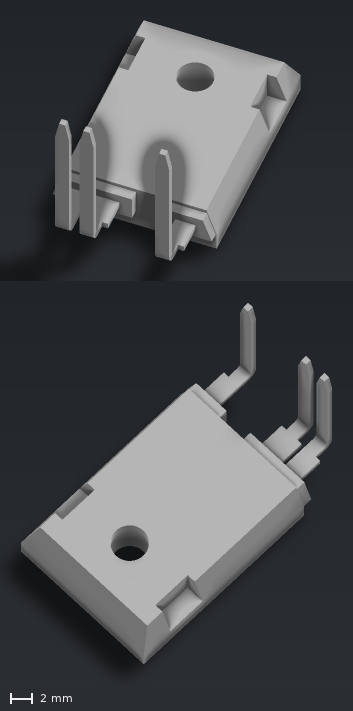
import cadquery as cq


package_width = 16.0
package_length = 21.0
package_height = 4.95
base_height = 2.0
side_taper_inset = 1.03
rear_taper_inset = 1.5

hole_diameter = 3.55
hole_from_rear = 6.2

notch_depth = 1.95
notch_length = 4.23
notch_from_rear = 3.48

shoulder_length = 1.0
shoulder_height = 2.57
shoulder_side_offset = 0.08
left_shoulder_inner_x = 0.0
right_shoulder_inner_x = 3.1

lead_reach = 6.0
lead_top = 18.31
lead_thickness = 0.63
lead_bottom = 3.0
lead_width = 1.4
bend_inner_radius = 0.55
wide_length = 2.83
wide_margin = 0.6
tip_length = 2.0
tip_width = 0.6
outer_lead_x = 4.97
middle_lead_x = -2.56

lead_layout = [
    (-outer_lead_x, wide_margin, 0.0),
    (middle_lead_x, wide_margin, wide_margin),
    (outer_lead_x, 0.0, wide_margin),
]

half_width = package_width / 2
bend_outer_radius = bend_inner_radius + lead_thickness


def box(x_min, x_max, y_min, y_max, z_min, z_max):
    """Box between the given limits."""
    return cq.Workplane("XY").box(
        x_max - x_min, y_max - y_min, z_max - z_min, centered=False
    ).translate((x_min, y_min, z_min))


def make_upper_package():
    """Upper half, sloped on both sides and at the rear, upright on the lead side."""
    side_profile = (
        cq.Workplane("YZ", origin=(-half_width, 0, 0))
        .moveTo(0, base_height)
        .lineTo(package_length, base_height)
        .lineTo(package_length - rear_taper_inset, package_height)
        .lineTo(0, package_height)
        .close()
        .extrude(package_width)
    )
    end_profile = (
        cq.Workplane("XZ")
        .moveTo(-half_width, base_height)
        .lineTo(half_width, base_height)
        .lineTo(half_width - side_taper_inset, package_height)
        .lineTo(-half_width + side_taper_inset, package_height)
        .close()
        .extrude(-package_length)
    )
    return side_profile.intersect(end_profile)


def make_shoulder(inner_x, side):
    """Shoulder block from inner_x out to the -X (side = -1) or +X (side = 1) edge."""
    slope = side_taper_inset / (package_height - base_height)
    bottom_x = half_width - shoulder_side_offset
    top_x = bottom_x - slope * shoulder_height
    top_z = base_height + shoulder_height
    return (
        cq.Workplane("XZ")
        .moveTo(inner_x, base_height)
        .lineTo(side * bottom_x, base_height)
        .lineTo(side * top_x, top_z)
        .lineTo(inner_x, top_z)
        .close()
        .extrude(shoulder_length)
    )


def make_package():
    package = box(-half_width, half_width, 0, package_length, 0, base_height)
    package = package.union(make_upper_package())

    notch_rear_y = package_length - notch_from_rear
    notch_front_y = notch_rear_y - notch_length
    for x_min in (-half_width, half_width - notch_depth):
        notch = box(x_min, x_min + notch_depth, notch_front_y, notch_rear_y, base_height, package_height)
        package = package.cut(notch)

    package = package.union(make_shoulder(left_shoulder_inner_x, -1))
    package = package.union(make_shoulder(right_shoulder_inner_x, 1))

    hole = (
        cq.Workplane("XY")
        .center(0, package_length - hole_from_rear)
        .circle(hole_diameter / 2)
        .extrude(package_height)
    )
    return package.cut(hole)


def make_lead(center_x, left_margin, right_margin):
    """Flat lead that leaves the shoulder face, bends upward and ends in a tapered tip."""
    start_y = -shoulder_length
    outer_y = -lead_reach
    inner_y = outer_y + lead_thickness
    upper_z = lead_bottom + lead_thickness
    strip = (
        cq.Workplane("YZ", origin=(center_x - lead_width / 2, 0, 0))
        .moveTo(start_y, lead_bottom)
        .lineTo(outer_y + bend_outer_radius, lead_bottom)
        .radiusArc((outer_y, lead_bottom + bend_outer_radius), bend_outer_radius)
        .lineTo(outer_y, lead_top)
        .lineTo(inner_y, lead_top)
        .lineTo(inner_y, upper_z + bend_inner_radius)
        .radiusArc((inner_y + bend_inner_radius, upper_z), -bend_inner_radius)
        .lineTo(start_y, upper_z)
        .close()
        .extrude(lead_width)
    )
    wide_part = box(
        center_x - lead_width / 2 - left_margin,
        center_x + lead_width / 2 + right_margin,
        start_y - wide_length,
        start_y,
        lead_bottom,
        upper_z,
    )

    for side in (-1, 1):
        edge_x = center_x + side * lead_width / 2
        tip_x = center_x + side * tip_width / 2
        tip_cut = (
            cq.Workplane("XZ", origin=(0, inner_y, 0))
            .moveTo(edge_x, lead_top - tip_length)
            .lineTo(edge_x, lead_top)
            .lineTo(tip_x, lead_top)
            .close()
            .extrude(lead_thickness)
        )
        strip = strip.cut(tip_cut)
    return strip.union(wide_part)


package = make_package()
leads = [make_lead(*layout) for layout in lead_layout]

result = cq.Compound.makeCompound([package.val(), *[lead.val() for lead in leads]])